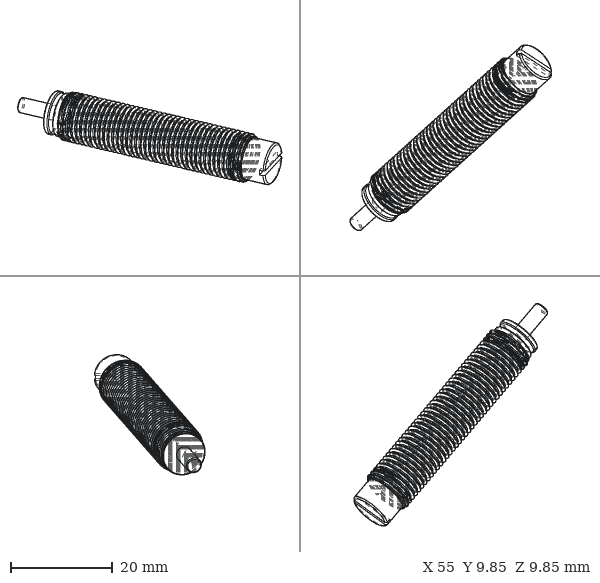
import cadquery as cq

total_length = 55.0
body_start = 7.0
groove_floor_start = 8.05
groove_floor_end = 8.9
thread_start = 9.9
thread_end = 50.0

thread_diameter = 9.85
rod_radius = 1.55
groove_radius = 4.1
root_radius = 4.4
crest_radius = thread_diameter / 2
head_radius = 4.25

rod_chamfer = 0.2
body_chamfer = 0.15
groove_flank = 0.2
head_chamfer = 0.35

pitch = total_length / 55
crest_width = 0.1
ridge_root_width = 0.7
ridge_embed = 0.1
first_crest_x = 10.25

slot_width = 1.05
slot_depth = 1.1


def turned(outline):
    """Solid of revolution about X from (x, radius) points."""
    return cq.Workplane("XY").polyline(outline).close().revolve(360, (0, 0, 0), (1, 0, 0))


def make_core():
    return turned([
        (0, 0),
        (0, rod_radius - rod_chamfer),
        (rod_chamfer, rod_radius),
        (body_start, rod_radius),
        (body_start, root_radius - body_chamfer),
        (body_start + body_chamfer, root_radius),
        (groove_floor_start - groove_flank, root_radius),
        (groove_floor_start, groove_radius),
        (groove_floor_end, groove_radius),
        (groove_floor_end + groove_flank, root_radius),
        (thread_end, root_radius),
        (thread_end, head_radius),
        (total_length - head_chamfer, head_radius),
        (total_length, head_radius - head_chamfer),
        (total_length, 0),
    ])


def make_thread():
    """Helical ridge whose crest fades out along a 45 degree chamfer at each end."""
    sweep_start = first_crest_x - pitch
    sweep_length = thread_end + pitch - sweep_start
    inner_radius = root_radius - ridge_embed

    flank_slope = (ridge_root_width - crest_width) / 2 / (crest_radius - root_radius)
    crest_half = crest_width / 2
    inner_half = ridge_root_width / 2 + flank_slope * ridge_embed
    helix = cq.Wire.makeHelix(pitch, sweep_length, root_radius)
    ridge = (
        cq.Workplane("XZ")
        .polyline([
            (inner_radius, -inner_half),
            (crest_radius, -crest_half),
            (crest_radius, crest_half),
            (inner_radius, inner_half),
        ])
        .close()
        .sweep(cq.Workplane(obj=helix), isFrenet=True)
        .rotate((0, 0, 0), (0, 0, 1), 180)
        .rotate((0, 0, 0), (0, 1, 0), 90)
        .translate((sweep_start, 0, 0))
    )

    envelope_radius = crest_radius + ridge_embed
    fade_length = envelope_radius - root_radius
    envelope = turned([
        (thread_start - root_radius, 0),
        (thread_start + fade_length, envelope_radius),
        (thread_end - fade_length, envelope_radius),
        (thread_end, root_radius),
        (thread_end, 0),
    ])
    return ridge.intersect(envelope)


def make_slot():
    block = cq.Workplane("XY").box(2 * slot_depth, thread_diameter, slot_width)
    return block.translate((total_length, 0, 0))


result = make_core().union(make_thread()).cut(make_slot())